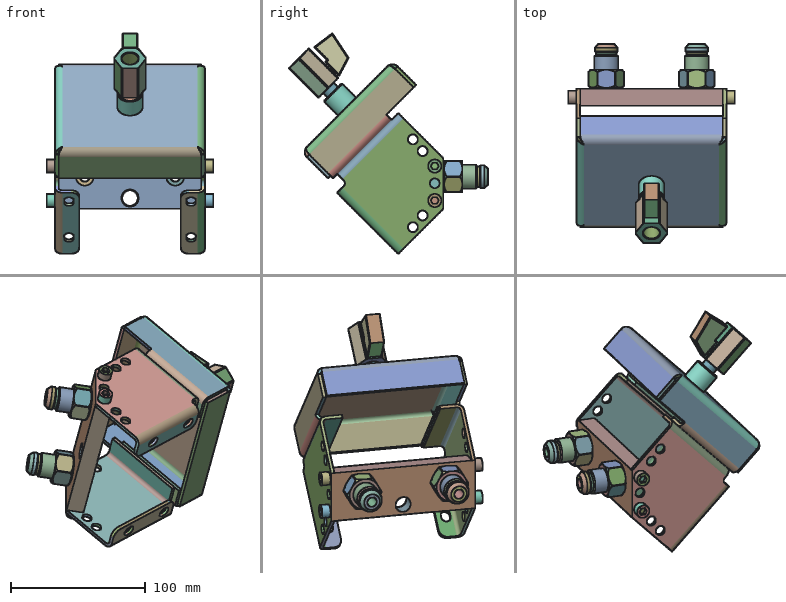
import cadquery as cq
import math

TILT = 45.0

SHEET = 2.6
BEND_R = 5.4
INNER_BEND_R = BEND_R - SHEET
HALF_WIDTH = 55.7
INNER_HALF_WIDTH = HALF_WIDTH - SHEET
FLANGE_EDGE_X = 37.7
JOINT_Z = 10.8
MARGIN = 8.2

HOOD_Y = -2.3
HOOD_TOP_Z = 41.1
HOOD_HALF_DEPTH = 47.6
INNER_HALF_DEPTH = HOOD_HALF_DEPTH - SHEET
BEND_START_X = HALF_WIDTH - BEND_R
BEND_START_Y = HOOD_HALF_DEPTH - BEND_R
HOOD_SIDE_BOTTOM_Z = JOINT_Z + BEND_R
FRONT_FLAP_BOTTOM_Z = 13.5
RETURN_FLANGE_LENGTH = 61.5

CHEEK_FRONT_Y = -52.7
CHEEK_REAR_Y = 21.1
CHEEK_BOTTOM_Z = -63.0
NOTCH_Y = -42.9
NOTCH_Z = 1.1
NOTCH_R = 3.0
FLANGE_CORNER_R = 6.0
FLANGE_SLOT_WIDTH = 7.2
FLANGE_SLOT_LENGTH = 9.0
FLANGE_SLOT_X = 45.4
FLANGE_SLOT_ZS = (-8.2, -45.8)

BLOCK_REAR_Y = 40.8
BLOCK_DEPTH = 12.8
BLOCK_BOTTOM_Z = -48.5
BLOCK_TOP_Z = -10.8
BLOCK_MID_Y = BLOCK_REAR_Y - BLOCK_DEPTH / 2
PORT_D = 11.5
PORT_CHAMFER = 0.7
PORT_Z = -40.5

SIDE_HOLE_D = 7.2
HOLE_ROW_Z = -29.5
OUTER_HOLE_PLACES = ((25.4, 23.9), (18.2, 32.5))
SCREW_OFFSET_Z = 12.8
SCREW_HEAD_D = 9.8
SCREW_HEAD_HEIGHT = 6.2
SOCKET_FLATS = 5.0
SOCKET_DEPTH = 3.3

FITTING_X = 33.5
FITTING_Z = -24.5
FITTING_BORE_D = 7.2
FITTING_PORT_D = 13.3
FITTING_COLLAR_R = 9.7
FITTING_COLLAR_LENGTH = 0.8
FITTING_HEX_FLATS = 23.2
FITTING_HEX_CORNER_R = 13.3
FITTING_HEX_LENGTH = 13.1
FITTING_HEX_CHAMFER = 1.5
FITTING_BODY_R = 9.0
FITTING_BODY_END = 24.0
FITTING_GROOVE_R = 7.7
FITTING_GROOVE_START = 25.0
FITTING_GROOVE_END = 26.9
FITTING_LIP_R = 8.5
FITTING_LIP_START = 27.7
FITTING_LIP_END = 30.3
FITTING_TIP_R = 6.0
FITTING_LENGTH = 33.2

BOSS_R = 9.5
BOSS_TOP_Z = 56.2
BOSS_CHAMFER = 0.7
NECK_R = 5.5
VALVE_HEX_BOTTOM_Z = 60.7
VALVE_TOP_Z = 91.7
VALVE_HEX_FLATS = 21.0
VALVE_HEX_CORNER_R = 11.8
VALVE_BORE_D = 12.1
VALVE_BORE_DEPTH = 19.6
VALVE_BORE_CHAMFER = 0.5
LEVER_WIDTH = 11.5
LEVER_CHAMFER = 0.7
STEM_R = 3.5
STEM_Z = 69.0
STEM_EMBEDDED_LENGTH = 1.6
LEVER_OUTLINE = (
    (12.0, 61.4),
    (12.0, 76.0),
    (13.9, 76.0),
    (13.9, 89.5),
    (30.8, 87.3),
    (26.4, 65.8),
)


def block(x_range, y_range, z_range):
    """Box between the given limits."""
    lows, highs = zip(x_range, y_range, z_range)
    sizes = [high - low for low, high in zip(lows, highs)]
    return cq.Workplane("XY").box(*sizes, centered=False).translate(lows)


def hexagon_prism(flats, length):
    """Hexagonal prism along +Z, with two flats facing +Y and -Y."""
    return cq.Workplane("XY").polygon(6, flats / math.cos(math.radians(30))).extrude(length)


def tilted(body):
    return body.rotate((0, 0, 0), (1, 0, 0), TILT)




def relieved_envelope(front_right, rear_right):
    """Space for a hood sheet, narrowed over the bend height to the given plan.

    The plan is given by its front and rear right-hand points; its left side mirrors them.
    """
    right = front_right + rear_right
    left = [(-x, y) for x, y in reversed(right)]
    bend_bottom_z = HOOD_TOP_Z - BEND_R
    plan = cq.Workplane("XY", origin=(0, 0, bend_bottom_z)).polyline(right + left).close()
    below_bends = block(
        (-HALF_WIDTH, HALF_WIDTH), (-HOOD_HALF_DEPTH, HOOD_HALF_DEPTH), (0, bend_bottom_z)
    )
    return below_bends.union(plan.extrude(BEND_R))


def hood_side_sheet():
    """Top panel and the two side flaps."""
    outer = block(
        (-HALF_WIDTH, HALF_WIDTH),
        (-INNER_HALF_DEPTH, INNER_HALF_DEPTH),
        (HOOD_SIDE_BOTTOM_Z, HOOD_TOP_Z),
    )
    outer = outer.edges("|Y and >Z").fillet(BEND_R)
    inner = block(
        (-INNER_HALF_WIDTH, INNER_HALF_WIDTH),
        (-HOOD_HALF_DEPTH, HOOD_HALF_DEPTH),
        (0, HOOD_TOP_Z - SHEET),
    )
    inner = inner.edges("|Y and >Z").fillet(INNER_BEND_R)
    envelope = relieved_envelope(
        [(BEND_START_X, -BEND_START_Y), (HALF_WIDTH, -INNER_HALF_DEPTH)],
        [(HALF_WIDTH, INNER_HALF_DEPTH), (BEND_START_X, BEND_START_Y)],
    )
    return outer.cut(inner).intersect(envelope)


def hood_end_sheet():
    """Top panel with the longer front flap and the rear flap."""
    outer = block(
        (-INNER_HALF_WIDTH, INNER_HALF_WIDTH),
        (-HOOD_HALF_DEPTH, HOOD_HALF_DEPTH),
        (FRONT_FLAP_BOTTOM_Z, HOOD_TOP_Z),
    )
    outer = outer.edges("|X and >Z").fillet(BEND_R)
    inner = block(
        (-HALF_WIDTH, HALF_WIDTH),
        (-INNER_HALF_DEPTH, INNER_HALF_DEPTH),
        (0, HOOD_TOP_Z - SHEET),
    )
    inner = inner.edges("|X and >Z").fillet(INNER_BEND_R)
    below_rear_flap = block(
        (-HALF_WIDTH, HALF_WIDTH), (0, HOOD_HALF_DEPTH), (0, HOOD_SIDE_BOTTOM_Z)
    )
    envelope = relieved_envelope(
        [(INNER_HALF_WIDTH, -HOOD_HALF_DEPTH), (BEND_START_X, -BEND_START_Y)],
        [(BEND_START_X, BEND_START_Y), (INNER_HALF_WIDTH, HOOD_HALF_DEPTH)],
    )
    return outer.cut(inner).cut(below_rear_flap).intersect(envelope)


def hood_return_flanges():
    """Flanges under the side flaps, bent inwards onto the frame."""
    y_range = (-INNER_HALF_DEPTH, RETURN_FLANGE_LENGTH - INNER_HALF_DEPTH)
    outer = block((-HALF_WIDTH, HALF_WIDTH), y_range, (JOINT_Z, HOOD_SIDE_BOTTOM_Z + MARGIN))
    outer = outer.edges("|Y and <Z").fillet(BEND_R)
    inner = block(
        (-INNER_HALF_WIDTH, INNER_HALF_WIDTH), y_range, (JOINT_Z + SHEET, HOOD_TOP_Z)
    )
    inner = inner.edges("|Y and <Z").fillet(INNER_BEND_R)
    opening = block((-FLANGE_EDGE_X, FLANGE_EDGE_X), y_range, (0, HOOD_TOP_Z))
    return outer.cut(inner).cut(opening)


def make_hood():
    hood = hood_side_sheet().union(hood_end_sheet()).union(hood_return_flanges())
    return tilted(hood.translate((0, HOOD_Y, 0)))




def notch_cutter():
    """Corner relief between the top flange and the front flange, across the cheek."""
    cutter = block(
        (0, HALF_WIDTH + MARGIN), (CHEEK_FRONT_Y - MARGIN, NOTCH_Y), (NOTCH_Z, JOINT_Z + MARGIN)
    )
    return cutter.edges("|X and >Y and <Z").fillet(NOTCH_R)


def make_cheek():
    """Right-hand cheek: a side plate with a top flange and a front flange bent inwards."""
    outer = block(
        (FLANGE_EDGE_X, HALF_WIDTH), (CHEEK_FRONT_Y, CHEEK_REAR_Y), (CHEEK_BOTTOM_Z, JOINT_Z)
    )
    outer = outer.edges(">X and (>Z or <Y)").edges("|Y or |Z").fillet(BEND_R)
    inner = block(
        (0, INNER_HALF_WIDTH),
        (CHEEK_FRONT_Y + SHEET, CHEEK_REAR_Y + MARGIN),
        (CHEEK_BOTTOM_Z - MARGIN, JOINT_Z - SHEET),
    )
    inner = inner.edges(">X and (>Z or <Y)").edges("|Y or |Z").fillet(INNER_BEND_R)
    cheek = outer.cut(inner).cut(notch_cutter())

    front_corners = cq.selectors.BoxSelector(
        (FLANGE_EDGE_X - SHEET, CHEEK_FRONT_Y - SHEET, CHEEK_BOTTOM_Z - SHEET),
        (FLANGE_EDGE_X + SHEET, CHEEK_FRONT_Y + SHEET, NOTCH_Z + SHEET),
    )
    cheek = cheek.edges(front_corners).edges("|Y").fillet(FLANGE_CORNER_R)

    for slot_z in FLANGE_SLOT_ZS:
        slot = (
            cq.Workplane("XZ", origin=(FLANGE_SLOT_X, CHEEK_FRONT_Y + 2 * SHEET, slot_z))
            .slot2D(FLANGE_SLOT_LENGTH, FLANGE_SLOT_WIDTH, 90)
            .extrude(3 * SHEET)
        )
        cheek = cheek.cut(slot)

    return cut_upright_features(tilted(cheek))


def cut_upright_features(cheek):
    """Trim the cheek flush with the block's rear face and drill the rows of side holes."""
    far = 2 * HALF_WIDTH
    cheek = cheek.cut(block((0, far), (BLOCK_REAR_Y, far), (-far, far)))
    places = [(BLOCK_MID_Y, HOLE_ROW_Z)]
    for y, offset_z in OUTER_HOLE_PLACES:
        places.append((y, HOLE_ROW_Z + offset_z))
        places.append((y, HOLE_ROW_Z - offset_z))
    holes = cq.Workplane("YZ").pushPoints(places).circle(SIDE_HOLE_D / 2).extrude(far)
    return cheek.cut(holes)


def make_manifold():
    """Block between the cheeks, with one plain port and two ports for the fittings."""
    manifold = block(
        (-INNER_HALF_WIDTH, INNER_HALF_WIDTH),
        (BLOCK_REAR_Y - BLOCK_DEPTH, BLOCK_REAR_Y),
        (BLOCK_BOTTOM_Z, BLOCK_TOP_Z),
    )
    ports = cq.Workplane("XZ", origin=(0, BLOCK_REAR_Y, 0))
    fitting_places = [(-FITTING_X, FITTING_Z), (FITTING_X, FITTING_Z)]
    manifold = manifold.cut(
        ports.pushPoints(fitting_places).circle(FITTING_PORT_D / 2).extrude(BLOCK_DEPTH)
    )
    manifold = manifold.cut(ports.center(0, PORT_Z).circle(PORT_D / 2).extrude(BLOCK_DEPTH))
    around_port = cq.selectors.BoxSelector(
        (-PORT_D, 0, PORT_Z - PORT_D), (PORT_D, BLOCK_REAR_Y, PORT_Z + PORT_D), boundingbox=True
    )
    return manifold.faces("<Y").edges(around_port).edges("%CIRCLE").chamfer(PORT_CHAMFER)


def make_screw(centre_z):
    """Socket screw head on the outside of the right-hand cheek."""
    head = cq.Workplane("XY").circle(SCREW_HEAD_D / 2).extrude(SCREW_HEAD_HEIGHT)
    socket = hexagon_prism(SOCKET_FLATS, SOCKET_DEPTH)
    head = head.cut(socket.translate((0, 0, SCREW_HEAD_HEIGHT - SOCKET_DEPTH)))
    head = head.rotate((0, 0, 0), (0, 0, 1), 90).rotate((0, 0, 0), (0, 1, 0), 90)
    return head.translate((HALF_WIDTH, BLOCK_MID_Y, centre_z))


def make_fitting(centre_x):
    """Hollow pipe fitting with a hexagon and a grooved spigot, pointing rearwards."""
    hex_end = FITTING_COLLAR_LENGTH + FITTING_HEX_LENGTH
    turned = (
        cq.Workplane("XZ")
        .polyline([
            (0, 0),
            (FITTING_COLLAR_R, 0),
            (FITTING_COLLAR_R, hex_end),
            (FITTING_BODY_R, hex_end),
            (FITTING_BODY_R, FITTING_BODY_END),
            (FITTING_GROOVE_R, FITTING_GROOVE_START),
            (FITTING_GROOVE_R, FITTING_GROOVE_END),
            (FITTING_LIP_R, FITTING_LIP_START),
            (FITTING_LIP_R, FITTING_LIP_END),
            (FITTING_TIP_R, FITTING_LENGTH),
            (0, FITTING_LENGTH),
        ])
        .close()
        .revolve(360, (0, 0), (0, 1))
    )
    envelope = (
        cq.Workplane("XY")
        .circle(FITTING_HEX_CORNER_R)
        .extrude(FITTING_HEX_LENGTH)
        .edges()
        .chamfer(FITTING_HEX_CHAMFER)
    )
    hexagon = hexagon_prism(FITTING_HEX_FLATS, FITTING_HEX_LENGTH).intersect(envelope)
    bore = cq.Workplane("XY").circle(FITTING_BORE_D / 2).extrude(FITTING_LENGTH)
    fitting = turned.union(hexagon.translate((0, 0, FITTING_COLLAR_LENGTH))).cut(bore)
    fitting = fitting.rotate((0, 0, 0), (1, 0, 0), -90)
    return fitting.translate((centre_x, BLOCK_REAR_Y, FITTING_Z))


def make_frame():
    """Cheeks, manifold block, screws and fittings as one welded assembly."""
    side = make_cheek()
    for offset_z in (-SCREW_OFFSET_Z, SCREW_OFFSET_Z):
        side = side.union(make_screw(HOLE_ROW_Z + offset_z))
    frame = make_manifold().union(side).union(side.mirror("YZ"))
    for centre_x in (-FITTING_X, FITTING_X):
        frame = frame.union(make_fitting(centre_x))
    return frame




def valve_body():
    """Round boss, neck and hexagon with a blind bore."""
    boss = cq.Workplane("XY").circle(BOSS_R).extrude(BOSS_TOP_Z - HOOD_TOP_Z)
    boss = boss.faces(">Z").edges().chamfer(BOSS_CHAMFER).translate((0, 0, HOOD_TOP_Z))
    neck = cq.Workplane("XY").circle(NECK_R).extrude(VALVE_HEX_BOTTOM_Z - BOSS_TOP_Z)
    hex_length = VALVE_TOP_Z - VALVE_HEX_BOTTOM_Z
    rounding = cq.Workplane("XY").circle(VALVE_HEX_CORNER_R).extrude(hex_length)
    hexagon = hexagon_prism(VALVE_HEX_FLATS, hex_length).intersect(rounding)
    hexagon = hexagon.faces(">Z").workplane().hole(VALVE_BORE_D, VALVE_BORE_DEPTH)
    bore_rim = hexagon.faces(">Z").edges("%CIRCLE").edges(cq.selectors.RadiusNthSelector(0))
    hexagon = bore_rim.chamfer(VALVE_BORE_CHAMFER)
    body = boss.union(neck.translate((0, 0, BOSS_TOP_Z)))
    return body.union(hexagon.translate((0, 0, VALVE_HEX_BOTTOM_Z)))


def valve_lever():
    """Lever with bevelled rims behind the hexagon, on a short stem."""
    lever = (
        cq.Workplane("YZ")
        .polyline(LEVER_OUTLINE)
        .close()
        .extrude(LEVER_WIDTH / 2, both=True)
        .faces("<X or >X")
        .chamfer(LEVER_CHAMFER)
    )
    stem_end = LEVER_OUTLINE[0][0]
    stem_start = VALVE_HEX_FLATS / 2 - STEM_EMBEDDED_LENGTH
    stem = cq.Workplane("XZ", origin=(0, stem_end, STEM_Z)).circle(STEM_R)
    return lever.union(stem.extrude(stem_end - stem_start))


def make_valve():
    valve = valve_body().union(valve_lever())
    return tilted(valve.translate((0, HOOD_Y, 0)))


frame = make_frame()
hood = make_hood()
valve = make_valve()

result = cq.Compound.makeCompound([frame.solids().val(), hood.solids().val(), valve.solids().val()])